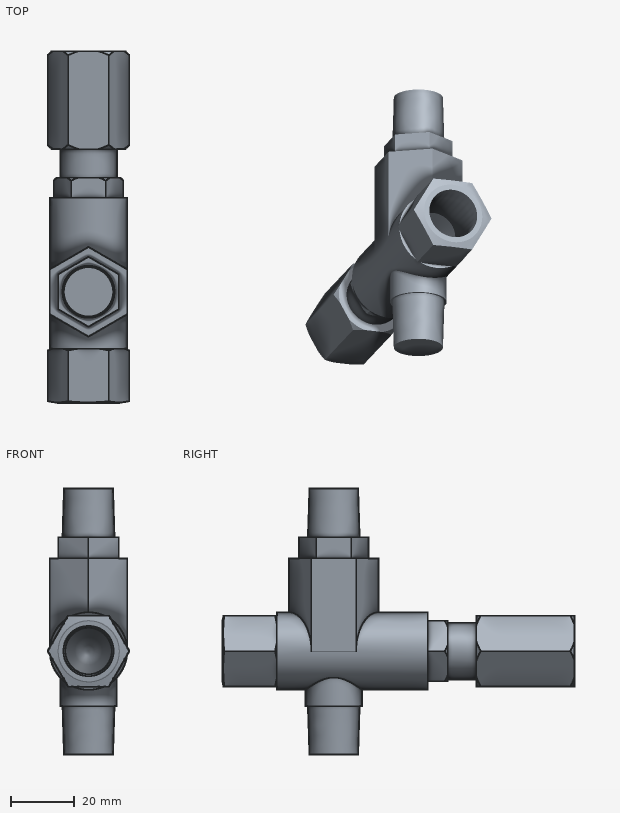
import cadquery as cq
import math

HEX_SIDES = 6

BODY_DIAMETER = 24.35
BODY_FRONT_Y = -17.85
BODY_BACK_Y = 29.5

END_NUT_FLATS = 22.25
COLLAR_FLATS = 19.0
POST_FLATS = BODY_DIAMETER

FRONT_NUT_LENGTH = 17.05
FRONT_FACE_Y = BODY_FRONT_Y - FRONT_NUT_LENGTH
FRONT_FACE_DIAMETER = 19.2
FRONT_CHAMFER_ANGLE = 10
FRONT_NUT_BACK_DIAMETER = 23.0
FRONT_NUT_BACK_ANGLE = 24
PORT_MOUTH_DIAMETER = 15.8
PORT_END_DIAMETER = 14.55
PORT_DEPTH = 20.0
DRILL_POINT_ANGLE = 118

COLLAR_LENGTH = 6.3
COLLAR_FACE_DIAMETER = 20.0
NECK_DIAMETER = 17.9
NECK_LENGTH = 8.95
BACK_NUT_LENGTH = 30.76
BACK_NUT_FACE_DIAMETER = 23.0
CHAMFER_ANGLE = 45

POST_TOP_Z = 29.1
POST_COLLAR_LENGTH = 6.65
BOSS_DIAMETER = 17.8
BOSS_BOTTOM_Z = -17.26
THREAD_LENGTH = 15.24
THREAD_ROOT_DIAMETER = 16.4
THREAD_TIP_DIAMETER = 15.45


def bar_along_y(diameter, start_y, length):
    """Round bar on the Y axis, running from start_y toward +Y."""
    plane = cq.Workplane("XZ", origin=(0, start_y, 0))
    return plane.circle(diameter / 2).extrude(-length)


def hexagon_across_corners(flats):
    """Corner-to-corner size of a hexagon from its size across flats."""
    return flats / math.cos(math.pi / HEX_SIDES)


def hex_along_y(flats, start_y, length):
    """Hexagonal bar on the Y axis with corners on +X and -X."""
    plane = cq.Workplane("XZ", origin=(0, start_y, 0))
    return plane.polygon(HEX_SIDES, hexagon_across_corners(flats)).extrude(-length)


def hex_along_z(flats, start_z, length):
    """Hexagonal bar on the Z axis with flats on +X and -X."""
    plane = cq.Workplane("XY", origin=(0, 0, start_z))
    turned = plane.transformed(rotate=(0, 0, 180 / HEX_SIDES))
    return turned.polygon(HEX_SIDES, hexagon_across_corners(flats)).extrude(length)


def chamfer_corners(nut, flats, face_y, direction, face_diameter, angle):
    """Turn down the corners of a hexagon at the end face face_y; direction is the outward Y sign."""
    face_radius = face_diameter / 2
    outer_radius = hexagon_across_corners(flats)
    depth = (outer_radius - face_radius) * math.tan(math.radians(angle))
    ring = (
        cq.Workplane("XY")
        .moveTo(face_radius, face_y)
        .lineTo(outer_radius, face_y)
        .lineTo(outer_radius, face_y - direction * depth)
        .close()
        .revolve(360, (0, 0, 0), (0, 1, 0))
    )
    return nut.cut(ring)


def tapered_thread(root_z, direction):
    """Plain tapered spigot standing in for a pipe thread, growing along direction on Z."""
    root = cq.Workplane("XY", origin=(0, 0, root_z)).circle(THREAD_ROOT_DIAMETER / 2)
    return root.workplane(offset=direction * THREAD_LENGTH).circle(THREAD_TIP_DIAMETER / 2).loft()


def front_nut():
    """Hexagonal nut with shallow conical ends, in front of the body."""
    nut = hex_along_y(END_NUT_FLATS, FRONT_FACE_Y, FRONT_NUT_LENGTH)
    nut = chamfer_corners(nut, END_NUT_FLATS, FRONT_FACE_Y, -1, FRONT_FACE_DIAMETER, FRONT_CHAMFER_ANGLE)
    return chamfer_corners(
        nut, END_NUT_FLATS, BODY_FRONT_Y, 1, FRONT_NUT_BACK_DIAMETER, FRONT_NUT_BACK_ANGLE
    )


def port():
    """Tapered blind hole with a conical drill point, entering the front nut."""
    end_y = FRONT_FACE_Y + PORT_DEPTH
    point_length = PORT_END_DIAMETER / 2 / math.tan(math.radians(DRILL_POINT_ANGLE / 2))
    return (
        cq.Workplane("XY")
        .moveTo(0, FRONT_FACE_Y)
        .lineTo(PORT_MOUTH_DIAMETER / 2, FRONT_FACE_Y)
        .lineTo(PORT_END_DIAMETER / 2, end_y)
        .lineTo(0, end_y + point_length)
        .close()
        .revolve(360, (0, 0, 0), (0, 1, 0))
    )


def back_end():
    """Chamfered collar, neck and long nut, stacked along +Y from the body."""
    collar_end_y = BODY_BACK_Y + COLLAR_LENGTH
    nut_start_y = collar_end_y + NECK_LENGTH
    collar = hex_along_y(COLLAR_FLATS, BODY_BACK_Y, COLLAR_LENGTH)
    collar = chamfer_corners(
        collar, COLLAR_FLATS, collar_end_y, 1, COLLAR_FACE_DIAMETER, CHAMFER_ANGLE
    )
    neck = bar_along_y(NECK_DIAMETER, collar_end_y, NECK_LENGTH)
    nut = hex_along_y(END_NUT_FLATS, nut_start_y, BACK_NUT_LENGTH)
    for face_y, direction in ((nut_start_y, -1), (nut_start_y + BACK_NUT_LENGTH, 1)):
        nut = chamfer_corners(
            nut, END_NUT_FLATS, face_y, direction, BACK_NUT_FACE_DIAMETER, CHAMFER_ANGLE
        )
    return collar.union(neck).union(nut)


def upper_branch():
    """Hexagonal post rising from the body axis, with a collar and a threaded spigot."""
    post = hex_along_z(POST_FLATS, 0, POST_TOP_Z)
    collar = hex_along_z(COLLAR_FLATS, POST_TOP_Z, POST_COLLAR_LENGTH)
    return post.union(collar).union(tapered_thread(POST_TOP_Z + POST_COLLAR_LENGTH, 1))


def lower_branch():
    """Round boss below the body, with a threaded spigot."""
    boss = cq.Workplane("XY").circle(BOSS_DIAMETER / 2).extrude(BOSS_BOTTOM_Z)
    return boss.union(tapered_thread(BOSS_BOTTOM_Z, -1))


body = bar_along_y(BODY_DIAMETER, BODY_FRONT_Y, BODY_BACK_Y - BODY_FRONT_Y)
result = body.union(upper_branch()).union(lower_branch()).union(front_nut()).union(back_end())
result = result.cut(port())